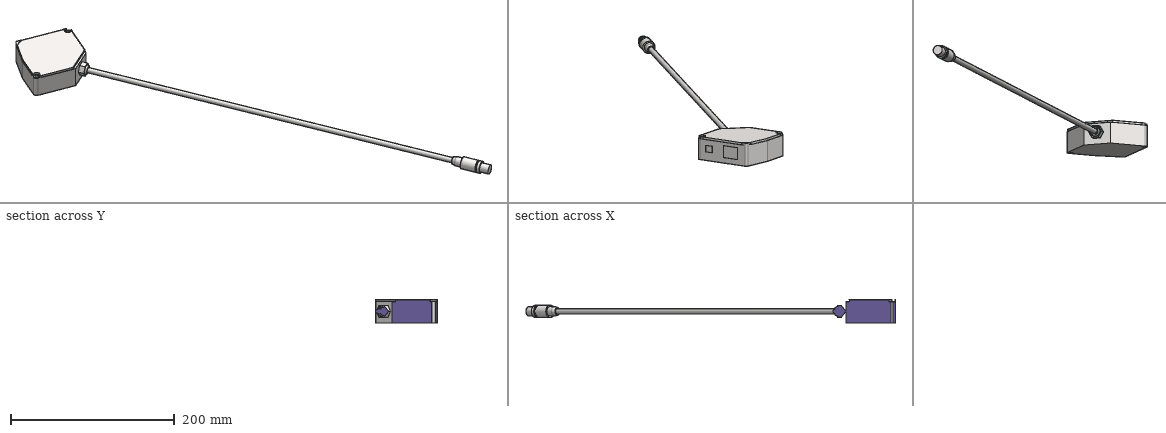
import cadquery as cq
import math

width = 75.5
depth = 78.5
height = 29.0
cable_corner_cut = 24.5
nose_x = 37.0
nose_rise = 6.5
nose_fillet = 2.5

hole_inset = 4.5
hole_radius = 2.3
seat_radius = 4.0
ear_size = 8.5

lid_height = 2.5
lid_inset = 0.5
lid_cable_inset = 2.5
lid_nose_cut = 7.0
nose_gap = 1.0

windows = [(61.5, 15.0, 9.5, 8.0), (30.0, 14.5, 20.5, 15.0)]
window_depth = 0.5

gland_across_corners = 16.5
gland_length = 7.0
collar_length = 2.3
collar_base_radius = 6.5
collar_end_radius = 5.0

reach_y = 451.5
cable_radius = 3.4
boot_end_radius = 4.5
boot_radius = 6.0
boot_taper = 4.5
boot_length = 8.0
grip_radius = 7.5
grip_length = 19.5
groove_radius = 6.5
groove_length = 1.5
ring_length = 4.0
tip_radius = 6.0
tip_length = 11.5

outer_corners = [(0, depth), (width, 0)]
hole_centers = [(hole_inset, depth - hole_inset), (width - hole_inset, hole_inset)]


def make_block():
    outline = [
        (0, nose_rise),
        (nose_x, 0),
        (width, 0),
        (width, depth - cable_corner_cut),
        (width - cable_corner_cut, depth),
        (0, depth),
    ]
    block = cq.Workplane("XY").polyline(outline).close().extrude(height)
    for x, y in outer_corners:
        corner_edge = cq.selectors.NearestToPointSelector((x, y, height / 2))
        block = block.edges(corner_edge).fillet(hole_inset)
    nose_edge = cq.selectors.NearestToPointSelector((0, nose_rise, height / 2))
    return block.edges(nose_edge).fillet(nose_fillet)


def lid_layer(outline):
    layer = cq.Workplane("XY").workplane(offset=height - lid_height)
    return layer.polyline(outline).close().extrude(lid_height)


def make_lid():
    left, right = lid_inset, width - lid_inset
    front, back = lid_inset, depth - lid_inset
    slant_left = nose_rise + lid_inset
    slant_slope = nose_rise / nose_x
    cable_cut = cable_corner_cut - 2 * lid_inset + lid_cable_inset * math.sqrt(2)
    return lid_layer([
        (left, slant_left + lid_nose_cut),
        (left + lid_nose_cut, slant_left - slant_slope * lid_nose_cut),
        (nose_x, front),
        (right, front),
        (right, back - cable_cut),
        (right - cable_cut, back),
        (left, back),
    ])


def make_raised_corners():
    """Zones where the wall stays flush up to the top: both screw corners and the slanted corner."""
    zones = cq.Workplane("XY")
    for x, y in outer_corners:
        ear = cq.Workplane("XY").box(2 * ear_size, 2 * ear_size, 2 * lid_height)
        zones = zones.union(ear.translate((x, y, height)))
    post_size = nose_rise + lid_nose_cut + 2 * lid_inset - nose_gap * math.sqrt(2)
    return zones.union(lid_layer([(0, 0), (post_size, 0), (0, post_size)]))


def make_housing():
    block = make_block()
    rim = lid_layer([(0, 0), (width, 0), (width, depth), (0, depth)])
    housing = block.cut(rim.cut(make_lid()).cut(make_raised_corners()))
    seats = cq.Workplane("XY").workplane(offset=height - lid_height).pushPoints(hole_centers)
    housing = housing.cut(seats.circle(seat_radius).extrude(lid_height))
    for x, y in outer_corners:
        opening = cq.Workplane("XY").box(2 * hole_inset, 2 * hole_inset, 2 * lid_height)
        housing = housing.cut(opening.translate((x, y, height)))
    holes = cq.Workplane("XY").pushPoints(hole_centers).circle(hole_radius).extrude(height)
    return housing.cut(holes)


def cut_windows(part):
    for y, z, size_y, size_z in windows:
        window = cq.Workplane("XY").box(2 * window_depth, size_y, size_z)
        part = part.cut(window.translate((0, y, z)))
    return part


start_x = width - cable_corner_cut / 2
start_y = depth - cable_corner_cut / 2
axis_plane = cq.Plane(
    origin=(start_x, start_y, height / 2),
    xDir=(0, 0, 1),
    normal=(1, 1, 0),
)
plug_end = (reach_y - start_y) * math.sqrt(2) - tip_radius


def make_gland():
    hexagon = cq.Workplane(axis_plane).transformed(rotate=(0, 0, 90))
    nut = hexagon.polygon(6, gland_across_corners).extrude(gland_length)
    collar_end = gland_length + collar_length
    profile = [
        (0, 0),
        (collar_base_radius, 0),
        (collar_base_radius, gland_length),
        (collar_end_radius, collar_end),
        (0, collar_end),
    ]
    return nut.union(turn(profile))


def turn(profile):
    """Revolve a (radius, distance) profile about the cable axis."""
    side_plane = cq.Plane(origin=axis_plane.origin, xDir=(0, 0, 1), normal=(-1, 1, 0))
    return cq.Workplane(side_plane).polyline(profile).close().revolve(360, (0, 0), (0, 1))


def make_cable():
    tip_start = plug_end - tip_length
    ring_start = tip_start - ring_length
    groove_start = ring_start - groove_length
    grip_start = groove_start - grip_length
    boot_start = grip_start - boot_length
    taper_start = boot_start - boot_taper
    return turn([
        (0, 0),
        (cable_radius, 0),
        (cable_radius, taper_start),
        (boot_end_radius, taper_start),
        (boot_radius, boot_start),
        (boot_radius, grip_start),
        (grip_radius, grip_start),
        (grip_radius, groove_start),
        (groove_radius, groove_start),
        (groove_radius, ring_start),
        (grip_radius, ring_start),
        (grip_radius, tip_start),
        (tip_radius, tip_start),
        (tip_radius, plug_end),
        (0, plug_end),
    ])


result = cut_windows(make_housing()).union(make_gland()).union(make_cable())